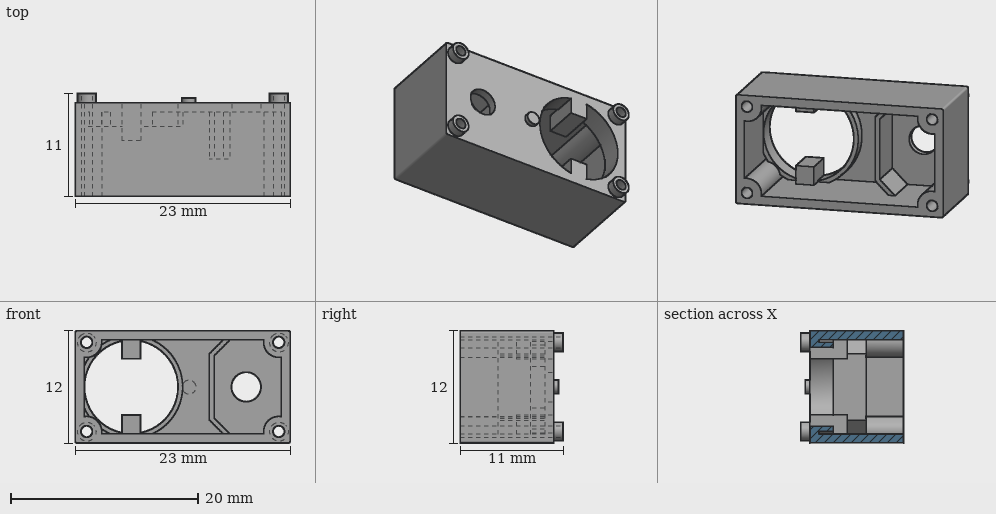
import cadquery as cq
import math

LENGTH = 23.0
HEIGHT = 12.0
DEPTH = 10.0
EDGE_RADIUS = 0.23
END_WALL = 0.97
SIDE_WALL = 1.0
FLOOR = 1.0
CAVITY_LENGTH = LENGTH - 2 * END_WALL
CAVITY_HEIGHT = HEIGHT - 2 * SIDE_WALL
FLOOR_Y = DEPTH - FLOOR

SCREW_X = 10.25
SCREW_Z = 4.75
SCREW_HOLE_DIAMETER = 1.2
BOSS_DIAMETER = 3.22
FOOT_DIAMETER = 2.0
FOOT_LENGTH = 1.0

OPENING_X = -5.5
OPENING_DIAMETER = 9.98
RIM_DIAMETER = 11.0
RIM_Y = 7.5
TAB_WIDTH = 2.0
TAB_TIP_Z = 3.0
TAB_Y = 6.0

PARTITION_X = 2.85
PARTITION_THICKNESS = 0.5
PARTITION_SLOPE = 1.47
PARTITION_Y = 4.0

SMALL_HOLE_X = 6.78
SMALL_HOLE_DIAMETER = 3.13
PIN_X = 0.65
PIN_DIAMETER = 1.5
PIN_LENGTH = 0.5


def block(x_start, x_end, y_start, y_end, z_start, z_end):
    """Box between two limits along each axis."""
    size = (x_end - x_start, y_end - y_start, z_end - z_start)
    return cq.Workplane("XY").box(*size, centered=False).translate((x_start, y_start, z_start))


def rod(x, z, diameter, y_start, y_end):
    """Round bar along Y."""
    plane = cq.Workplane("XZ", origin=(x, y_start, z))
    return plane.circle(diameter / 2).extrude(y_start - y_end)


def centred_block(length, height, y_start, y_end):
    """Box centred on X and Z."""
    return block(-length / 2, length / 2, y_start, y_end, -height / 2, height / 2)


def partition_area(x):
    """Solid filling the cavity height right of x, its two left corners cut at 45 degrees."""
    top = CAVITY_HEIGHT / 2
    slope = PARTITION_SLOPE + (x - PARTITION_X) * (math.sqrt(2) - 1)
    points = [
        (x, -top + slope),
        (x + slope, -top),
        (LENGTH / 2, -top),
        (LENGTH / 2, top),
        (x + slope, top),
        (x, top - slope),
    ]
    plane = cq.Workplane("XZ", origin=(0, PARTITION_Y, 0))
    return plane.polyline(points).close().extrude(PARTITION_Y - DEPTH)


envelope = centred_block(LENGTH, HEIGHT, 0, DEPTH).edges("|Y").fillet(EDGE_RADIUS)
body = envelope.cut(centred_block(CAVITY_LENGTH, CAVITY_HEIGHT, 0, FLOOR_Y))

cavity_column = centred_block(CAVITY_LENGTH, CAVITY_HEIGHT, 0, DEPTH)
rim = rod(OPENING_X, 0, RIM_DIAMETER, RIM_Y, DEPTH).intersect(cavity_column)
body = body.union(rim)
corners = [(x_side, z_side) for x_side in (-1, 1) for z_side in (-1, 1)]
for x_side, z_side in corners:
    boss = rod(x_side * SCREW_X, z_side * SCREW_Z, BOSS_DIAMETER, 0, DEPTH)
    body = body.union(boss.intersect(envelope))
opening = rod(OPENING_X, 0, OPENING_DIAMETER, RIM_Y, DEPTH)
body = body.cut(opening)

for z_start, z_end in ((-CAVITY_HEIGHT / 2, -TAB_TIP_Z), (TAB_TIP_Z, CAVITY_HEIGHT / 2)):
    x_start = OPENING_X - TAB_WIDTH / 2
    body = body.union(block(x_start, x_start + TAB_WIDTH, TAB_Y, DEPTH, z_start, z_end))

partition = partition_area(PARTITION_X).cut(partition_area(PARTITION_X + PARTITION_THICKNESS))
body = body.union(partition)

back = DEPTH + FOOT_LENGTH
for x_side, z_side in corners:
    foot = rod(x_side * SCREW_X, z_side * SCREW_Z, FOOT_DIAMETER, FLOOR_Y, back)
    body = body.union(foot)
body = body.union(rod(PIN_X, 0, PIN_DIAMETER, FLOOR_Y, DEPTH + PIN_LENGTH))
for x_side, z_side in corners:
    body = body.cut(rod(x_side * SCREW_X, z_side * SCREW_Z, SCREW_HOLE_DIAMETER, 0, back))
body = body.cut(rod(SMALL_HOLE_X, 0, SMALL_HOLE_DIAMETER, FLOOR_Y, DEPTH))

result = body